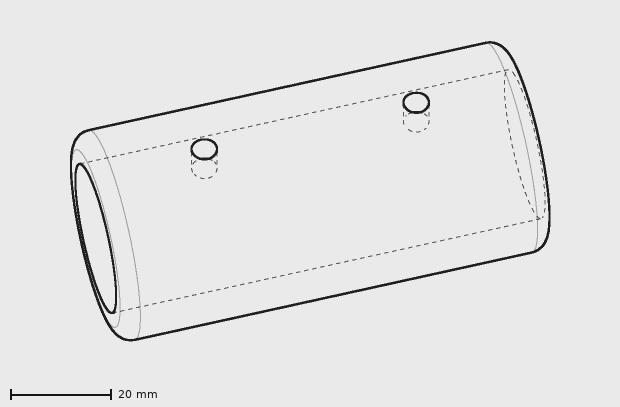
import cadquery as cq

length = 89.0
outer_diameter = 43.0
bore_diameter = 30.5
end_rounding = 3.3

hole_diameter = 5.1
hole_spacing = 44.0


def make_rod(diameter):
    """Full-length cylinder along Y, starting at the +Y end."""
    return cq.Workplane("XZ", origin=(0, length / 2, 0)).circle(diameter / 2).extrude(length)


def make_tube():
    """Hollow cylinder with rounded outer end edges."""
    body = make_rod(outer_diameter).faces("<Y or >Y").edges().fillet(end_rounding)
    return body.cut(make_rod(bore_diameter))


def make_wall_holes():
    """Two vertical cylinders from the tube axis out through the top wall."""
    return (
        cq.Workplane("XY")
        .pushPoints([(0, -hole_spacing / 2), (0, hole_spacing / 2)])
        .circle(hole_diameter / 2)
        .extrude(outer_diameter / 2)
    )


result = make_tube().cut(make_wall_holes())